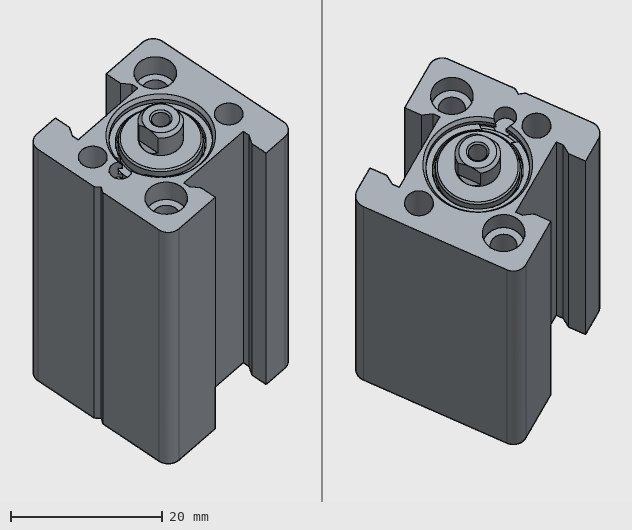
import cadquery as cq
import math

TOTAL_HEIGHT = 50.5
BODY_WIDTH = 25.0
ROD_PROJECTION = 3.5
BODY_HEIGHT = TOTAL_HEIGHT - ROD_PROJECTION
CORNER_RADIUS = 1.85

SLOT_FLOOR_X = 7.75
SLOT_LIP_INNER_X = 8.75
SLOT_LIP_OUTER_X = 10.0
SLOT_CENTER_Y = 1.75
SLOT_MOUTH_WIDTH = 10.2
SLOT_FLOOR_WIDTH = 11.9

V_GROOVE_WIDTH = 1.5
V_GROOVE_DEPTH = 0.55

BOLT_HOLE_DIAMETER = 3.6
BOLT_HEAD_DIAMETER = 5.6
BOLT_HEAD_DEPTH = 3.55
BOLT_OFFSET = 7.75
PLAIN_HOLE_DIAMETER = 3.8
PLAIN_HOLE_X = 4.3
PLAIN_HOLE_Y = 8.75

BORE_DIAMETER = 13.7
MOUTH_CHAMFER_WIDTH = 0.4
MOUTH_CHAMFER_DEPTH = 0.6
GROOVE_DIAMETER = 14.5
RING_TOP = BODY_HEIGHT - 1.3
RING_THICKNESS = 1.1
RING_BOTTOM = RING_TOP - RING_THICKNESS

RELIEF_DIAMETER = 3.0
RELIEF_Y = -8.1
RELIEF_FLOOR = BODY_HEIGHT - 3.05
RELIEF_LIP_CHAMFER = 0.3

RING_INNER_DIAMETER = 12.0
RING_GAP_APEX_Y = -4.1
RING_GAP_ANGLE = 110.0

BOSS_DIAMETER = 11.2
BOSS_CHAMFER = 0.25
BOSS_FOOT = 0.2
BOSS_TOP = BODY_HEIGHT - 0.55
FLANGE_THICKNESS = 5.05
COVER_BOTTOM = RING_BOTTOM - FLANGE_THICKNESS

ROD_DIAMETER = 6.0
ROD_CHAMFER = 0.5
ROD_ACROSS_FLATS = 5.0
FLATS_BOTTOM = BOSS_TOP + (ROD_DIAMETER - ROD_ACROSS_FLATS) / 2
TAP_DIAMETER = 2.45
TAP_CHAMFER = 0.25
TAP_DEPTH = 6.05
TAP_CONE_ANGLE = 120.0


def cylinder(diameter, bottom, top, x=0.0, y=0.0):
    """Upright cylinder between two heights."""
    return cq.Workplane("XY", origin=(x, y, bottom)).circle(diameter / 2).extrude(top - bottom)


def cone(bottom_radius, top_radius, bottom, top):
    """Frustum about the Z axis between two heights."""
    profile = [(0, bottom), (bottom_radius, bottom), (top_radius, top), (0, top)]
    return cq.Workplane("XZ").polyline(profile).close().revolve(360, (0, 0, 0), (0, 1, 0))


def side_slot():
    """Undercut slot in the -X side, over the full height."""
    half_floor = SLOT_FLOOR_WIDTH / 2
    half_mouth = SLOT_MOUTH_WIDTH / 2
    upper = [
        (-SLOT_FLOOR_X, half_floor),
        (-SLOT_LIP_INNER_X, half_floor),
        (-SLOT_LIP_OUTER_X, half_mouth),
        (-BODY_WIDTH / 2, half_mouth),
    ]
    lower = [(x, -y) for x, y in reversed(upper)]
    outline = cq.Workplane("XY").polyline(upper + lower).close()
    return outline.extrude(BODY_HEIGHT).translate((0, -SLOT_CENTER_Y, 0))


def v_groove():
    """V groove in the middle of the -Y face, over the full height."""
    face_y = -BODY_WIDTH / 2
    corners = [
        (-V_GROOVE_WIDTH / 2, face_y),
        (V_GROOVE_WIDTH / 2, face_y),
        (0, face_y + V_GROOVE_DEPTH),
    ]
    return cq.Workplane("XY").polyline(corners).close().extrude(BODY_HEIGHT)


def stepped_bore():
    """Bore for the cover, with the ring groove and the chamfered mouth."""
    bore = cylinder(BORE_DIAMETER, COVER_BOTTOM, BODY_HEIGHT)
    groove = cylinder(GROOVE_DIAMETER, RING_BOTTOM, RING_TOP)
    radius = BORE_DIAMETER / 2
    mouth = cone(radius, radius + MOUTH_CHAMFER_WIDTH, BODY_HEIGHT - MOUTH_CHAMFER_DEPTH, BODY_HEIGHT)
    return bore.union(groove).union(mouth)


def relief_hole():
    """Flat-bottomed relief hole, with a chamfer where its floor meets the bore."""
    hole = cylinder(RELIEF_DIAMETER, RELIEF_FLOOR, BODY_HEIGHT, 0, RELIEF_Y)
    lip_bottom = RELIEF_FLOOR - RELIEF_LIP_CHAMFER
    radius = BORE_DIAMETER / 2
    lip_cone = cone(radius, radius + RELIEF_LIP_CHAMFER, lip_bottom, RELIEF_FLOOR)
    lip = lip_cone.intersect(cylinder(RELIEF_DIAMETER, lip_bottom, RELIEF_FLOOR, 0, RELIEF_Y))
    return hole.union(lip)


def make_housing():
    block = cq.Workplane("XY").rect(BODY_WIDTH, BODY_WIDTH).extrude(BODY_HEIGHT)
    housing = block.edges("|Z").fillet(CORNER_RADIUS).cut(v_groove())
    for turn in (0, 180):
        bolt_hole = cylinder(BOLT_HOLE_DIAMETER, 0, BODY_HEIGHT, -BOLT_OFFSET, BOLT_OFFSET)
        bolt_head = cylinder(
            BOLT_HEAD_DIAMETER, BODY_HEIGHT - BOLT_HEAD_DEPTH, BODY_HEIGHT, -BOLT_OFFSET, BOLT_OFFSET
        )
        plain_hole = cylinder(PLAIN_HOLE_DIAMETER, 0, BODY_HEIGHT, PLAIN_HOLE_X, PLAIN_HOLE_Y)
        for cutter in (side_slot(), bolt_hole, bolt_head, plain_hole):
            housing = housing.cut(cutter.rotate((0, 0, 0), (0, 0, 1), turn))
    return housing.cut(stepped_bore()).cut(relief_hole())


def make_retaining_ring():
    """Ring filling the groove, open toward -Y across a wedge."""
    ring = cylinder(GROOVE_DIAMETER, RING_BOTTOM, RING_TOP)
    ring = ring.cut(cylinder(RING_INNER_DIAMETER, RING_BOTTOM, RING_TOP))
    drop = GROOVE_DIAMETER / 2
    half_width = drop * math.tan(math.radians(RING_GAP_ANGLE / 2))
    wedge = (
        cq.Workplane("XY", origin=(0, RING_GAP_APEX_Y, RING_BOTTOM))
        .polyline([(0, 0), (-half_width, -drop), (half_width, -drop)])
        .close()
        .extrude(RING_THICKNESS)
    )
    return ring.cut(wedge)


def make_cover():
    flange = cylinder(BORE_DIAMETER, COVER_BOTTOM, RING_BOTTOM)
    boss = cylinder(BOSS_DIAMETER, RING_BOTTOM, BOSS_TOP).faces(">Z").chamfer(BOSS_CHAMFER)
    radius = BOSS_DIAMETER / 2
    foot = cone(radius + BOSS_FOOT, radius, RING_BOTTOM, RING_BOTTOM + BOSS_FOOT)
    return flange.union(boss).union(foot).cut(cylinder(ROD_DIAMETER, COVER_BOTTOM, BOSS_TOP))


def tapped_hole():
    """Blind hole down the rod end: chamfered mouth, straight wall, drill-point bottom."""
    radius = TAP_DIAMETER / 2
    cone_height = radius / math.tan(math.radians(TAP_CONE_ANGLE / 2))
    floor_z = TOTAL_HEIGHT - TAP_DEPTH
    profile = [
        (0, TOTAL_HEIGHT),
        (radius + TAP_CHAMFER, TOTAL_HEIGHT),
        (radius, TOTAL_HEIGHT - TAP_CHAMFER),
        (radius, floor_z),
        (0, floor_z - cone_height),
    ]
    return cq.Workplane("XZ").polyline(profile).close().revolve(360, (0, 0, 0), (0, 1, 0))


def rod_flat():
    """Cut for the flat on the -Y side of the rod, running out at 45 degrees at its lower end."""
    flat_y = -ROD_ACROSS_FLATS / 2
    outer_y = -ROD_DIAMETER
    run_out = flat_y - outer_y
    profile = [
        (flat_y, TOTAL_HEIGHT),
        (flat_y, FLATS_BOTTOM),
        (outer_y, FLATS_BOTTOM - run_out),
        (outer_y, TOTAL_HEIGHT),
    ]
    return cq.Workplane("YZ").polyline(profile).close().extrude(ROD_DIAMETER, both=True)


def make_rod():
    rod = cylinder(ROD_DIAMETER, COVER_BOTTOM, TOTAL_HEIGHT).faces(">Z").chamfer(ROD_CHAMFER)
    for turn in (0, 180):
        rod = rod.cut(rod_flat().rotate((0, 0, 0), (0, 0, 1), turn))
    return rod.cut(tapped_hole())


housing = make_housing()
retaining_ring = make_retaining_ring()
cover = make_cover()
rod = make_rod()

result = cq.Compound.makeCompound([housing.val(), retaining_ring.val(), cover.val(), rod.val()])